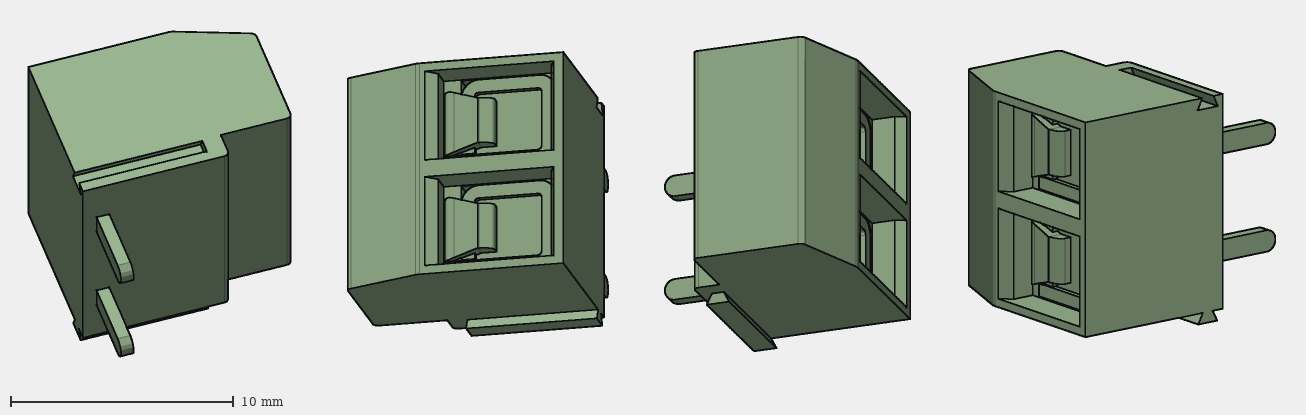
import cadquery as cq
import math

pole_count = 2
pitch = 5.0
housing_depth = 7.8
housing_length = 10.3
housing_height = pole_count * pitch

front_height = 6.74
slope_angle = 20.0
slope_lower_radius = 0.6
slope_upper_radius = 0.3
step_x = 6.55
step_y = 6.93
step_radius = 0.25

dovetail_length = 6.03
tongue_height = 0.5
groove_depth = 0.52
dovetail_center_x = 6.95
groove_neck_width = 0.65
groove_base_width = 1.14
tongue_neck_width = 0.57
tongue_base_width = 1.08

chamber_height = 4.2
chamber_wall_x = 1.58
chamber_bottom_y = 0.43
chamber_inner_bottom_y = 0.67
chamber_bottom_taper = 0.5
chamber_chamfer = 0.5
chamber_ceiling_y = 5.89
chamber_top_y = chamber_ceiling_y + chamber_chamfer

frame_front_x = 1.62
frame_back_x = 1.90
frame_thickness = 0.6
frame_low_y = 0.79
frame_high_y = 5.08
frame_height = 4.12
frame_corner_radius = 0.66
window_corner_radius = 0.18
folded_corner_radius = window_corner_radius + frame_thickness
tail_end_y = 5.45
fold_gap = 0.05
plate_thickness = 0.5
plate_back_x = frame_back_x + plate_thickness

leaf_front_x = 1.23
leaf_bend_radius = 0.55
leaf_tilt = 3.0
leaf_face_end_y = 4.23
leaf_root_step = 0.03
leaf_tip_start_y = 4.18
leaf_tip_x = 1.57
leaf_tip_y = 3.53
leaf_wide = 2.95
leaf_narrow = 2.12
leaf_taper_start_y = 5.56

pin_width = 1.0
pin_thickness = 0.6
pin_low_y = 0.65
pin_reach = 3.5
pin_tip_x = housing_depth + pin_reach

pole_heights = [(i + 0.5) * pitch for i in range(pole_count)]


def box(x0, x1, y0, y1, z0, z1):
    """Axis-aligned block between two opposite corners."""
    return cq.Workplane("XY").box(x1 - x0, y1 - y0, z1 - z0, centered=False).translate((x0, y0, z0))


def housing_block():
    slope_top_x = (housing_length - front_height) * math.tan(math.radians(slope_angle))
    block = (
        cq.Workplane("XY")
        .moveTo(0, 0)
        .lineTo(housing_depth, 0)
        .lineTo(housing_depth, step_y)
        .lineTo(step_x, step_y)
        .lineTo(step_x, housing_length)
        .lineTo(slope_top_x, housing_length)
        .lineTo(0, front_height)
        .close()
        .extrude(housing_height)
    )

    def corner(x, y):
        reach = 0.01
        return cq.selectors.BoxSelector(
            (x - reach, y - reach, 0), (x + reach, y + reach, housing_height)
        )

    block = block.edges(corner(0, front_height)).fillet(slope_lower_radius)
    block = block.edges(corner(slope_top_x, housing_length)).fillet(slope_upper_radius)
    block = block.edges(corner(step_x, housing_length)).fillet(step_radius)
    return block.edges(corner(housing_depth, step_y)).fillet(step_radius)


def dovetail(neck_width, base_width, neck_z, base_z):
    return (
        cq.Workplane("XZ")
        .moveTo(dovetail_center_x - neck_width / 2, neck_z)
        .lineTo(dovetail_center_x + neck_width / 2, neck_z)
        .lineTo(dovetail_center_x + base_width / 2, base_z)
        .lineTo(dovetail_center_x - base_width / 2, base_z)
        .close()
        .extrude(-dovetail_length)
    )


def wire_chamber():
    """Entry opening, centred on Z = 0, with a chamfered and a tapered lip."""
    return (
        cq.Workplane("XY", origin=(0, 0, -chamber_height / 2))
        .moveTo(0, chamber_bottom_y)
        .lineTo(chamber_bottom_taper, chamber_inner_bottom_y)
        .lineTo(chamber_wall_x, chamber_inner_bottom_y)
        .lineTo(chamber_wall_x, chamber_ceiling_y)
        .lineTo(chamber_chamfer, chamber_ceiling_y)
        .lineTo(0, chamber_top_y)
        .close()
        .extrude(chamber_height)
    )


def frame_block(x0, x1):
    """Frame envelope between two X planes; all four corners are square."""
    return box(x0, x1, frame_low_y, frame_high_y, -frame_height / 2, frame_height / 2)


def lower_bar_tail(x0, x1):
    """Part of the lower bar that runs on under the folded bar."""
    return box(
        x0, x1,
        frame_high_y - frame_corner_radius, tail_end_y,
        -frame_height / 2, -frame_height / 2 + frame_thickness,
    )


def contact_pocket():
    pocket = frame_block(chamber_wall_x, plate_back_x)
    pocket = pocket.edges("|X and <Y").fillet(frame_corner_radius)
    return pocket.union(lower_bar_tail(chamber_wall_x, plate_back_x))


def clamp_frame():
    envelope = frame_block(frame_front_x, plate_back_x)
    envelope = envelope.edges("|X and <Y").fillet(frame_corner_radius)
    envelope = envelope.edges("|X and >Y and >Z").fillet(folded_corner_radius)
    envelope = envelope.union(lower_bar_tail(frame_front_x, plate_back_x))
    window_low_z = -frame_height / 2 + frame_thickness
    window_high_z = frame_height / 2 - frame_thickness
    window = box(
        frame_front_x, frame_back_x,
        frame_low_y + frame_thickness, frame_high_y - frame_thickness,
        window_low_z, window_high_z,
    )
    window = window.edges("|X").edges("<Y or >Z").fillet(window_corner_radius)
    gap = box(
        frame_front_x, frame_back_x,
        frame_high_y - frame_thickness, frame_high_y,
        window_low_z, window_low_z + fold_gap,
    )
    return envelope.cut(window).cut(gap)


def spring_leaf():
    """Leaf rounded over at the ceiling and curled back at its narrow tip."""
    bend_y = chamber_ceiling_y - leaf_bend_radius
    face_end_x = leaf_front_x - (bend_y - leaf_face_end_y) * math.tan(math.radians(leaf_tilt))
    tip_root_x = face_end_x + leaf_root_step
    side = (
        cq.Workplane("XY", origin=(0, 0, -leaf_wide / 2))
        .moveTo(plate_back_x, chamber_ceiling_y)
        .lineTo(leaf_front_x + leaf_bend_radius, chamber_ceiling_y)
        .radiusArc((leaf_front_x, bend_y), -leaf_bend_radius)
        .lineTo(face_end_x, leaf_face_end_y)
        .lineTo(tip_root_x, leaf_face_end_y)
        .lineTo(tip_root_x, leaf_tip_start_y)
        .ellipseArc(leaf_tip_x - tip_root_x, leaf_tip_start_y - leaf_tip_y, 180, 270)
        .lineTo(plate_back_x, leaf_tip_y)
        .close()
        .extrude(leaf_wide)
    )
    outline = (
        cq.Workplane("YZ")
        .moveTo(chamber_ceiling_y, leaf_wide / 2)
        .lineTo(leaf_taper_start_y, leaf_wide / 2)
        .lineTo(leaf_face_end_y, leaf_narrow / 2)
        .lineTo(leaf_tip_y, leaf_narrow / 2)
        .lineTo(leaf_tip_y, -leaf_narrow / 2)
        .lineTo(leaf_face_end_y, -leaf_narrow / 2)
        .lineTo(leaf_taper_start_y, -leaf_wide / 2)
        .lineTo(chamber_ceiling_y, -leaf_wide / 2)
        .close()
        .extrude(plate_back_x)
    )
    return side.intersect(outline)


def solder_pin():
    """Flat pin with a full round tip, starting at the rear of the back plate."""
    shank_end_x = pin_tip_x - pin_width / 2
    return (
        cq.Workplane("XZ", origin=(0, pin_low_y, 0))
        .moveTo(plate_back_x, -pin_width / 2)
        .lineTo(shank_end_x, -pin_width / 2)
        .threePointArc((pin_tip_x, 0), (shank_end_x, pin_width / 2))
        .lineTo(plate_back_x, pin_width / 2)
        .close()
        .extrude(-pin_thickness)
    )


def make_contact():
    return clamp_frame().union(spring_leaf()).union(solder_pin())


def make_housing():
    groove_floor_z = housing_height - groove_depth
    block = housing_block()
    block = block.union(dovetail(tongue_neck_width, tongue_base_width, 0, -tongue_height))
    block = block.cut(dovetail(groove_neck_width, groove_base_width, housing_height, groove_floor_z))
    seat = wire_chamber().union(contact_pocket()).union(spring_leaf()).union(solder_pin())
    for z in pole_heights:
        block = block.cut(seat.translate((0, 0, z)))
    return block


housing = make_housing()
contact = make_contact()
contacts = [contact.translate((0, 0, z)) for z in pole_heights]

result = cq.Compound.makeCompound([housing.val(), *[c.val() for c in contacts]])